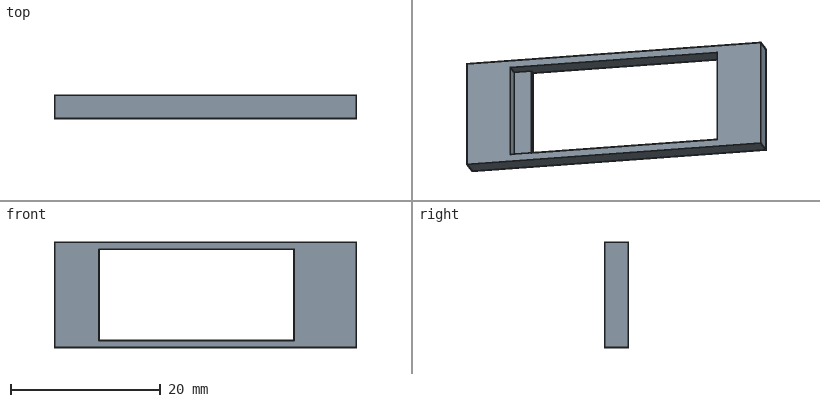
import cadquery as cq

length = 40.35
thickness = 3.15
height = 14.1

window_length = 26.0
window_height = 12.18
end_margin = 5.95
window_center_x = -length / 2 + end_margin + window_length / 2

lip_thickness = 0.95
recess_length = length - 2 * end_margin
recess_depth = thickness - lip_thickness
recess_center_y = thickness / 2 - recess_depth / 2

plate = cq.Workplane("XY").box(length, thickness, height)
window = (
    cq.Workplane("XY")
    .box(window_length, thickness, window_height)
    .translate((window_center_x, 0, 0))
)
recess = (
    cq.Workplane("XY")
    .box(recess_length, recess_depth, window_height)
    .translate((0, recess_center_y, 0))
)

result = plate.cut(window).cut(recess)